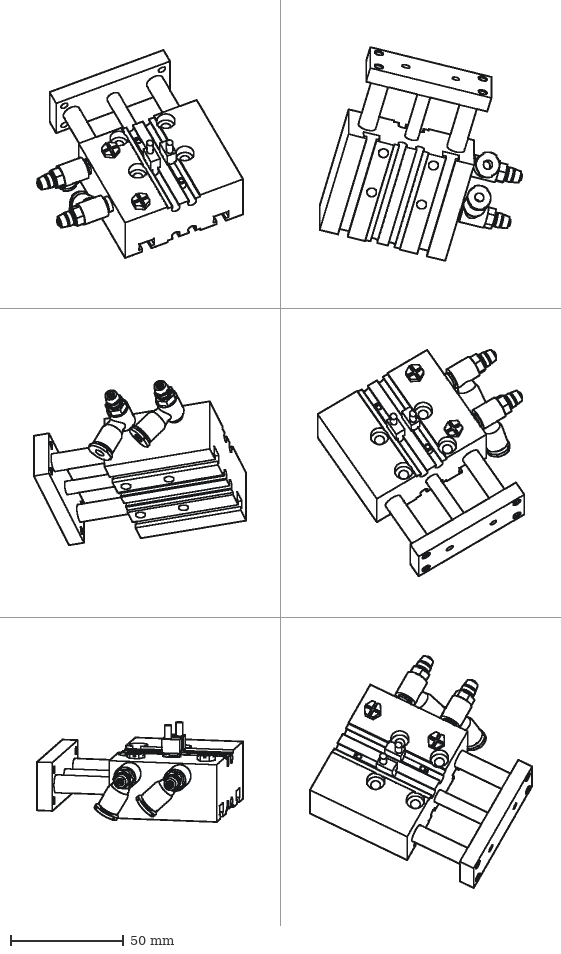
import cadquery as cq
import math


housing_length = 49.0
housing_width = 58.0
housing_height = 26.0
mid_height = housing_height / 2
mount_hole_x = (5.0, 25.0)
mount_hole_y = 11.5
mount_hole_dia = 4.3
counterbore_dia = 8.0
counterbore_depth = 4.5
channel_width = 16.0
channel_depth = 1.2
groove_y = 4.0
groove_opening = 3.0
groove_dia = 4.0
groove_axis_depth = 2.0
tee_slot_y = 18.3
tee_opening = 4.4
tee_width = 7.4
tee_lip = 2.0
tee_depth = 6.2

stroke_gap = 26.0
plate_thickness = 7.0
plate_width = 56.0
plate_height = 22.0
guide_rod_y = 20.5
guide_rod_dia = 8.0
piston_rod_dia = 6.0
plate_hole_y = 24.0
plate_hole_z = 7.0
plate_hole_dia = 3.3
plate_hole_rim_dia = 4.0
dowel_y = 11.5
dowel_dia = 3.0
dowel_depth = 5.0
dowel_slot_length = 3.5
drill_point_angle = 118.0

plug_y = -18.0
plug_places = ((9.95, 1.9), (41.95, 2.5))
plug_across_flats = 7.0
plug_slot_width = 1.0
plug_slot_depth = 1.0

sensor_x = 23.4
sensor_block_length = 8.0
sensor_block_width = 4.5
sensor_block_height = 6.35
sensor_strip_width = 2.6
sensor_strip_reach = 16.0
sensor_strip_drop = 0.7
sensor_screw_x = 13.95
sensor_screw_dia = 2.1
sensor_screw_rim_dia = 2.5
sensor_screw_depth = 0.5
cable_x = 1.75
cable_length = 3.1
cable_width = 2.7
cable_top = 38.3

fitting_z = 21.0
fitting_places = ((9.95, 1.9, 30), (32.9, 2.9, 47))
collar_length = 1.0
collar_dia = 6.5
neck_dia = 7.0
barrel_dia = 9.9
barrel_length = 11.45
hex_across_flats = 8.0
hex_length = 3.5
knob_dia = 6.5
knob_groove_dia = 6.0
knob_waist_dia = 5.0
knob_cone_dia = 6.2
knob_end_dia = 5.3
knob_tip_dia = 3.3
knob_tip_rim_dia = 2.5
knob_groove_start = 0.6
knob_groove_end = 1.25
knob_waist_start = 3.3
knob_cone_start = 3.9
knob_cone_end = 6.85
knob_tip_end = 7.7
tip_slot_width = 0.7
tip_slot_depth = 0.5
elbow_offset = 4.35
elbow_root_dia = 7.35
elbow_flare_dia = 8.35
elbow_button_neck_dia = 6.5
elbow_flare_start = 5.3
elbow_flare_end = 7.1
elbow_shoulder_start = 7.6
elbow_shoulder_end = 9.2
elbow_shoulder_bulge = 0.7
elbow_sleeve_end = 17.9
button_start = 19.05
button_end = 20.5
button_dia = 10.5
button_tab_span = 11.4
button_tab_width = 6.0
tube_dia = 4.0
tube_depth = 8.0


def x_box(length, width, height, x, y, z):
    """Box starting at x, centred on y, standing on z."""
    return cq.Workplane("XY").box(length, width, height, centered=(False, True, False)).translate((x, y, z))


def x_cylinder(dia, length, x, y, z):
    """Cylinder along +X starting at x."""
    return cq.Workplane("YZ").circle(dia / 2).extrude(length).translate((x, y, z))


def hexagon(plane, across_flats, length):
    """Hexagonal prism with a corner on the plane's local X axis."""
    across_corners = across_flats / math.cos(math.radians(30))
    return cq.Workplane(plane).polygon(6, across_corners).extrude(length)


def cone(start_dia, end_dia, length, start, direction):
    """Cone frustum from the start point along the direction."""
    solid = cq.Solid.makeCone(start_dia / 2, end_dia / 2, length, cq.Vector(start), cq.Vector(direction))
    return cq.Workplane("XY").add(solid)


def make_sensor_face_cut():
    """Shallow channel with two round-bottomed sensor grooves, cut into the housing's top face."""
    floor_z = housing_height - channel_depth
    axis_z = floor_z - groove_axis_depth
    cut = x_box(housing_length, channel_width, channel_depth, 0, 0, floor_z)
    for y in (groove_y, -groove_y):
        cut = cut.union(x_box(housing_length, groove_opening, groove_axis_depth, 0, y, axis_z))
        cut = cut.union(x_cylinder(groove_dia, housing_length, 0, y, axis_z))
    return cut


def make_tee_slot(y):
    """T-shaped slot along the underside of the housing."""
    opening = x_box(housing_length, tee_opening, tee_lip, 0, y, 0)
    return opening.union(x_box(housing_length, tee_width, tee_depth - tee_lip, 0, y, tee_lip))


def make_housing():
    housing = x_box(housing_length, housing_width, housing_height, 0, 0, 0)
    sensor_face = make_sensor_face_cut()
    housing = housing.cut(sensor_face)
    housing = housing.cut(sensor_face.rotate((0, 0, mid_height), (1, 0, mid_height), 180))
    for y in (tee_slot_y, -tee_slot_y):
        housing = housing.cut(make_tee_slot(y))
    holes = [(x, y) for x in mount_hole_x for y in (mount_hole_y, -mount_hole_y)]
    return (housing.faces(">Z").workplane(origin=(0, 0, housing_height)).pushPoints(holes)
            .cboreHole(mount_hole_dia, counterbore_dia, counterbore_depth))


def make_drilled_hole(dia, depth):
    """Blind drilling tool along +X from the origin, with a conical point."""
    point_length = dia / 2 / math.tan(math.radians(drill_point_angle / 2))
    return (cq.Workplane("XY").polyline([(0, 0), (0, dia / 2), (depth, dia / 2), (depth + point_length, 0)])
            .close().revolve(360, (0, 0, 0), (1, 0, 0)))


def make_slide():
    """End plate with the two guide rods and the piston rod."""
    plate_x = -stroke_gap - plate_thickness
    slide = x_box(plate_thickness, plate_width, plate_height, plate_x, 0, mid_height - plate_height / 2)

    chamfer = (plate_hole_rim_dia - plate_hole_dia) / 2
    hole = x_cylinder(plate_hole_dia, plate_thickness, 0, 0, 0)
    rim = cone(plate_hole_rim_dia, plate_hole_dia, chamfer, (0, 0, 0), (1, 0, 0))
    for y in (plate_hole_y, -plate_hole_y):
        for z in (mid_height + plate_hole_z, mid_height - plate_hole_z):
            slide = slide.cut(hole.union(rim).translate((plate_x, y, z)))

    for y in (dowel_y, -dowel_y):
        slide = slide.cut(make_drilled_hole(dowel_dia, dowel_depth).translate((plate_x, y, mid_height)))
    slot = cq.Workplane("YZ").slot2D(dowel_slot_length, dowel_dia).extrude(dowel_depth)
    slide = slide.cut(slot.translate((plate_x, dowel_y, mid_height)))

    for y, dia in ((guide_rod_y, guide_rod_dia), (0, piston_rod_dia), (-guide_rod_y, guide_rod_dia)):
        slide = slide.union(x_cylinder(dia, stroke_gap, -stroke_gap, y, mid_height))
    return slide


def make_plug(x, height):
    """Cross-slotted hexagonal plug head resting on the housing top."""
    plug = hexagon("XY", plug_across_flats, height)
    slot = cq.Workplane("XY").box(2 * plug_across_flats, plug_slot_width, 2 * plug_slot_depth)
    for angle in (0, 90):
        plug = plug.cut(slot.rotate((0, 0, 0), (0, 0, 1), angle).translate((0, 0, height)))
    return plug.translate((x, plug_y, housing_height))


def make_sensor(y, turn):
    """Sensor lying in a groove: strip, raised block and cable. Built with z = 0 at the housing top."""
    half_block = sensor_block_length / 2
    groove_axis_z = -channel_depth - groove_axis_depth
    strip_length = sensor_strip_reach + half_block
    strip_height = -sensor_strip_drop - groove_axis_z

    strip = x_box(strip_length, sensor_strip_width, strip_height, -half_block, 0, groove_axis_z)
    stem = x_box(sensor_block_length, sensor_strip_width, -groove_axis_z, -half_block, 0, groove_axis_z)
    block = x_box(sensor_block_length, sensor_block_width, sensor_block_height, -half_block, 0, 0)
    belly = x_cylinder(sensor_strip_width, strip_length, -half_block, 0, groove_axis_z)
    cable = (cq.Workplane("XY").slot2D(cable_length, cable_width)
             .extrude(cable_top - housing_height - sensor_block_height)
             .translate((cable_x, 0, sensor_block_height)))
    sensor = strip.union(belly).union(stem).union(block).union(cable)

    screw_well = (cq.Workplane("XY", origin=(sensor_screw_x, 0, -sensor_strip_drop))
                  .circle(sensor_screw_dia / 2).extrude(-sensor_screw_depth))
    rim_depth = (sensor_screw_rim_dia - sensor_screw_dia) / 2
    rim_start = (sensor_screw_x, 0, -sensor_strip_drop)
    rim = cone(sensor_screw_rim_dia, sensor_screw_dia, rim_depth, rim_start, (0, 0, -1))
    sensor = sensor.cut(screw_well).cut(rim)
    return sensor.rotate((0, 0, 0), (0, 0, 1), turn).translate((sensor_x, y, housing_height))


def turned_steps(steps):
    """Solid of revolution about Z running toward -Z; steps are (dia, start, end)."""
    solid = cq.Workplane("XY")
    for dia, start, end in steps:
        solid = solid.union(cq.Workplane("XY", origin=(0, 0, -start)).circle(dia / 2).extrude(start - end))
    return solid


def make_knob():
    """Adjusting knob about Z running toward -Z from the origin, with a slotted tip."""
    tip_chamfer = (knob_tip_dia - knob_tip_rim_dia) / 2
    knob = turned_steps([
        (knob_dia, 0, knob_groove_start),
        (knob_groove_dia, knob_groove_start, knob_groove_end),
        (knob_dia, knob_groove_end, knob_waist_start),
        (knob_waist_dia, knob_waist_start, knob_cone_start),
        (knob_tip_dia, knob_cone_end, knob_tip_end),
    ]).faces("<Z").chamfer(tip_chamfer)
    cone_length = knob_cone_end - knob_cone_start
    knob = knob.union(cone(knob_cone_dia, knob_end_dia, cone_length, (0, 0, -knob_cone_start), (0, 0, -1)))
    slot = cq.Workplane("XY").box(knob_tip_dia, tip_slot_width, 2 * tip_slot_depth)
    return knob.cut(slot.translate((0, 0, -knob_tip_end)))


def make_button():
    """Tube release button: round disc with two wider tabs."""
    thickness = button_end - button_start
    disc = cq.Workplane("XY").circle(button_dia / 2).extrude(-thickness)
    band = cq.Workplane("XY").rect(button_tab_span, button_tab_width).extrude(-thickness)
    tabs = cq.Workplane("XY").circle(button_tab_span / 2).extrude(-thickness).intersect(band)
    return disc.union(tabs).translate((0, 0, -button_start))


def make_elbow():
    """Tube connection about Z running toward -Z from the barrel axis."""
    shoulder_mid = (elbow_shoulder_start + elbow_shoulder_end) / 2
    root = elbow_root_dia / 2
    flare = elbow_flare_dia / 2
    sleeve = barrel_dia / 2
    button_neck = elbow_button_neck_dia / 2
    shoulder_mid_radius = flare + elbow_shoulder_bulge * (sleeve - flare)
    elbow = (cq.Workplane("XZ").moveTo(0, 0).lineTo(root, 0).lineTo(root, -elbow_flare_start)
             .lineTo(flare, -elbow_flare_end).lineTo(flare, -elbow_shoulder_start)
             .threePointArc((shoulder_mid_radius, -shoulder_mid), (sleeve, -elbow_shoulder_end))
             .lineTo(sleeve, -elbow_sleeve_end).lineTo(button_neck, -elbow_sleeve_end)
             .lineTo(button_neck, -button_start).lineTo(0, -button_start).close()
             .revolve(360, (0, 0, 0), (0, 1, 0)))
    bore = cq.Workplane("XY").circle(tube_dia / 2).extrude(tube_depth).translate((0, 0, -button_end))
    return elbow.union(make_button()).cut(bore)


def make_fitting(x, neck_length, elbow_angle):
    """Speed-control fitting whose axis leaves the housing side toward -Y."""
    barrel_end = neck_length + barrel_length
    hex_end = barrel_end + hex_length

    stem = turned_steps([
        (neck_dia, 0, neck_length - collar_length),
        (collar_dia, neck_length - collar_length, neck_length),
        (barrel_dia, neck_length, barrel_end),
    ])
    stem = stem.union(make_knob().translate((0, 0, -hex_end)))
    stem = stem.union(hexagon("XY", hex_across_flats, -hex_length)
                      .rotate((0, 0, 0), (0, 0, 1), 90).translate((0, 0, -barrel_end)))
    stem = stem.rotate((0, 0, 0), (1, 0, 0), -90)

    fitting = stem.union(make_elbow().translate((0, -neck_length - elbow_offset, 0)))
    fitting = fitting.rotate((0, 0, 0), (0, 1, 0), elbow_angle)
    return fitting.translate((x, -housing_width / 2, fitting_z))


housing = make_housing()
slide = make_slide()
plugs = [make_plug(x, height) for x, height in plug_places]
sensors = [make_sensor(y, turn) for y, turn in ((groove_y, 0), (-groove_y, 180))]
fittings = [make_fitting(x, neck, angle) for x, neck, angle in fitting_places]

bodies = [housing, slide, *plugs, *sensors, *fittings]
result = cq.Compound.makeCompound([body.solids().val() for body in bodies])